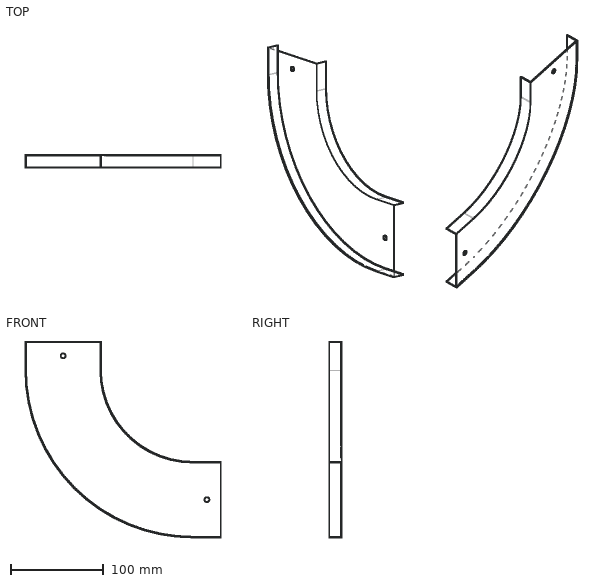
import cadquery as cq

overall = 211.0
depth = 14.0
floor_thickness = 1.0
wall_thickness = 1.0
straight_length = 30.4
channel_width = 81.9

hole_diameter = 5.0
hole_end_distance = 15.0

half = overall / 2
back_y = depth / 2
bend_center = half - straight_length
outer_radius = overall - straight_length


def bend_plate(inset, thickness, front_y):
    """Bend outline, inset from both curved sides, extruded from front_y toward +Y."""
    outer = outer_radius - inset
    inner = outer_radius - channel_width + inset
    diagonal = 0.5 ** 0.5

    def on_arc(radius):
        offset = bend_center - radius * diagonal
        return (offset, offset)

    plane = cq.Workplane("XZ", origin=(0, front_y, 0))
    return (
        plane.moveTo(bend_center - outer, half)
        .lineTo(bend_center - outer, bend_center)
        .threePointArc(on_arc(outer), (bend_center, bend_center - outer))
        .lineTo(half, bend_center - outer)
        .lineTo(half, bend_center - inner)
        .lineTo(bend_center, bend_center - inner)
        .threePointArc(on_arc(inner), (bend_center - inner, bend_center))
        .lineTo(bend_center - inner, half)
        .close()
        .extrude(-thickness)
    )


body = bend_plate(0, depth, -back_y)
cavity = bend_plate(wall_thickness, depth - floor_thickness, -back_y)
channel = body.cut(cavity)

center_line = -half + channel_width / 2
hole_end = half - hole_end_distance
holes = (
    cq.Workplane("XZ", origin=(0, back_y, 0))
    .pushPoints([(center_line, hole_end), (hole_end, center_line)])
    .circle(hole_diameter / 2)
    .extrude(depth)
)

result = channel.cut(holes)